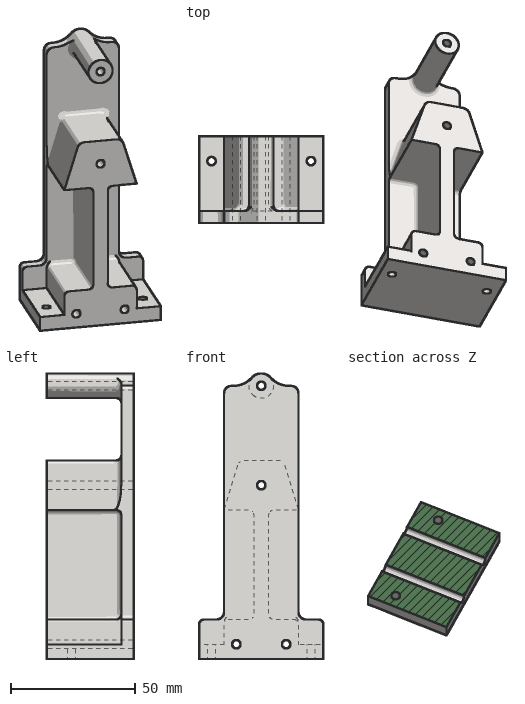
import cadquery as cq
import math

depth = 35.0
plate_thickness = 5.0

foot_width = 50.0
foot_height = 16.0
flange_height = 6.0
foot_corner_radius = 2.0
foot_neck_radius = 3.0

upright_width = 30.0
shoulder_height = 110.0
shoulder_radius = 3.0
crest_blend_radius = 10.0

pin_radius = 5.0
pin_height = shoulder_height

web_width = 6.0
web_fillet_radius = 2.0
block_edge_radius = 2.0
head_bottom = 60.0
head_top = 80.0
head_draft_angle = 17.0
head_edge_radius = 3.0

root_radius = 2.0
head_side_root_radius = 3.0

hole_diameter = 3.3
plate_holes = [(-10.0, 6.0), (10.0, 6.0), (0.0, 70.0), (0.0, pin_height)]
flange_holes = [(-20.0, 25.0), (20.0, 25.0)]

half_foot = foot_width / 2
half_upright = upright_width / 2
half_web = web_width / 2
half_head_top = half_upright - (head_top - head_bottom) * math.tan(math.radians(head_draft_angle))
crest_top = pin_height + pin_radius
tolerance = 0.01


def extrude_back(sketch, start, end):
    """Extrude an outline drawn in XZ along +Y, from y = start to y = end."""
    return sketch.extrude(start - end).translate((0, start, 0))


def plate_outline():
    """Outline of the plate, its crest concentric with the pin."""
    reach = pin_radius + crest_blend_radius
    blend_x = math.sqrt(reach**2 - crest_blend_radius**2)
    crest_x = blend_x * pin_radius / reach
    crest_z = pin_height + crest_blend_radius * pin_radius / reach
    return (
        cq.Workplane("XZ")
        .moveTo(-half_foot, 0)
        .lineTo(half_foot, 0)
        .lineTo(half_foot, foot_height - foot_corner_radius)
        .radiusArc((half_foot - foot_corner_radius, foot_height), -foot_corner_radius)
        .lineTo(half_upright + foot_neck_radius, foot_height)
        .radiusArc((half_upright, foot_height + foot_neck_radius), foot_neck_radius)
        .lineTo(half_upright, shoulder_height - shoulder_radius)
        .radiusArc((half_upright - shoulder_radius, shoulder_height), -shoulder_radius)
        .lineTo(blend_x, shoulder_height)
        .radiusArc((crest_x, crest_z), crest_blend_radius)
        .threePointArc((0, crest_top), (-crest_x, crest_z))
        .radiusArc((-blend_x, shoulder_height), crest_blend_radius)
        .lineTo(-half_upright + shoulder_radius, shoulder_height)
        .radiusArc((-half_upright, shoulder_height - shoulder_radius), -shoulder_radius)
        .lineTo(-half_upright, foot_height + foot_neck_radius)
        .radiusArc((-half_upright - foot_neck_radius, foot_height), foot_neck_radius)
        .lineTo(-half_foot + foot_corner_radius, foot_height)
        .radiusArc((-half_foot, foot_height - foot_corner_radius), -foot_corner_radius)
        .close()
    )


def edges_near(body, selector, x=None, z=None):
    """Edges whose centre lies at distance x from the YZ plane and at height z, where given."""
    return [
        edge
        for edge in body.edges(selector).vals()
        if (x is None or abs(abs(edge.Center().x) - x) < tolerance)
        and (z is None or abs(edge.Center().z - z) < tolerance)
    ]


def rear_prism():
    """Block, web and head as one prism, with its web and head edges rounded."""
    right_side = [
        (half_upright, 0),
        (half_upright, foot_height),
        (half_web, foot_height),
        (half_web, head_bottom),
        (half_upright, head_bottom),
        (half_head_top, head_top),
    ]
    left_side = [(-x, z) for x, z in reversed(right_side)]
    outline = cq.Workplane("XZ").polyline(right_side + left_side).close()
    body = extrude_back(outline, plate_thickness, depth)
    body = body.newObject(edges_near(body, "|Y", x=half_web)).fillet(web_fillet_radius)
    return body.newObject(edges_near(body, "|Y", z=head_top)).fillet(head_edge_radius)


def fillet_roots(body):
    """Fillet the block, web and head into the back of the plate."""
    maker = cq.occ_impl.shapes.BRepFilletAPI_MakeFillet(body.val().wrapped)
    root_edges = [
        edge
        for edge in body.edges("#Y").vals()
        if abs(edge.Center().y - plate_thickness) < tolerance
    ]

    head_chain = 1
    chain_radii = {1: head_side_root_radius, 3: root_radius, 5: head_side_root_radius}
    over_head = [edge for edge in root_edges if abs(edge.Center().z - head_top) < tolerance]
    maker.Add(over_head[0].wrapped)
    for place, radius in chain_radii.items():
        maker.SetRadius(radius, head_chain, place)

    for edge in root_edges:
        if abs(edge.Center().z - head_bottom) < tolerance:
            maker.Add(root_radius, edge.wrapped)
    return cq.Workplane(cq.Shape.cast(maker.Shape()))


def block_edge_section(y):
    """Corner left outside the rounded +X top edge of the block, drawn at the given y."""
    inner_x = half_upright - block_edge_radius
    return (
        cq.Workplane("XZ", origin=(0, y, 0))
        .moveTo(inner_x, foot_height)
        .lineTo(half_upright, foot_height)
        .lineTo(half_upright, foot_height - block_edge_radius)
        .radiusArc((inner_x, foot_height), -block_edge_radius)
        .close()
    )


def block_edge_waste():
    """Material to remove so that the +X top edge of the block is rounded."""
    root_end = plate_thickness + root_radius
    straight = block_edge_section(root_end).extrude(root_end - depth)
    root_axis_z = foot_height + root_radius
    curved = block_edge_section(root_end).revolve(90, (0, root_axis_z, 0), (-1, root_axis_z, 0))
    return straight.union(curved)


def rear_features():
    """Block, web and head with their root fillets, trimmed to the plate outline."""
    backing = cq.Workplane("XY").box(
        2 * foot_width, plate_thickness, 2 * crest_top, centered=(True, False, True)
    )
    body = fillet_roots(backing.union(rear_prism()))
    envelope = (
        cq.Workplane("XY")
        .box(upright_width, depth - plate_thickness, crest_top, centered=(True, False, False))
        .translate((0, plate_thickness, 0))
    )
    body = body.intersect(envelope)
    waste = block_edge_waste()
    body = body.cut(waste).cut(waste.mirror("YZ"))
    return body.intersect(extrude_back(plate_outline(), 0, depth))


def pin():
    """Pin with a root fillet that stops at the plate outline."""
    root_end = plate_thickness + root_radius
    shaft = extrude_back(cq.Workplane("XZ").center(0, pin_height).circle(pin_radius), 0, depth)
    root = (
        cq.Workplane("XY")
        .moveTo(0, plate_thickness)
        .lineTo(pin_radius + root_radius, plate_thickness)
        .radiusArc((pin_radius, root_end), root_radius)
        .lineTo(0, root_end)
        .close()
        .revolve(360, (0, 0, 0), (0, 1, 0))
        .translate((0, 0, pin_height))
    )
    return shaft.union(root.intersect(extrude_back(plate_outline(), 0, depth)))


def flange():
    """Mounting flange along the bottom."""
    return cq.Workplane("XY").box(foot_width, depth, flange_height, centered=(True, False, False))


def holes():
    """Through holes along Y and vertical holes through the flange."""
    hole_radius = hole_diameter / 2
    along_y = extrude_back(
        cq.Workplane("XZ").pushPoints(plate_holes).circle(hole_radius), 0, depth
    )
    vertical = cq.Workplane("XY").pushPoints(flange_holes).circle(hole_radius).extrude(flange_height)
    return along_y.union(vertical)


plate = extrude_back(plate_outline(), 0, plate_thickness)
result = plate.union(rear_features()).union(pin()).union(flange()).cut(holes())